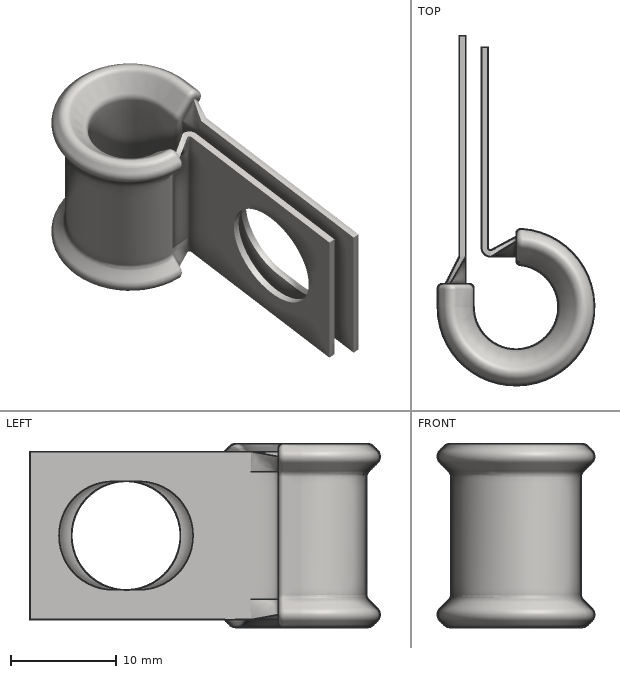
import cadquery as cq
import math


overall_length = 33.25
lip_diameter = 14.93
cushion_height = 17.45

lip_outer_radius = lip_diameter / 2
half_height = cushion_height / 2
tube_radius = 6.2
wall = 2.2
lip_round = 0.8
outer_bend_radius = 0.65
inner_bend_radius = 0.9

loop_angle = 270
straight_end = 2.23
end_round = 0.5

strap = 0.63
strap_half_width = 7.98
flap_root = 6.05
long_ear_top = overall_length - lip_outer_radius
short_ear_top = 24.67
long_flap_start = 4.8
short_ear_x = -3.3
ear_bend_radius = 0.25

hole_radius = 5.15
hole_y = 16.65
slot_length = 12.75

DIAGONAL = math.sqrt(0.5)
HALF_BEND = math.tan(math.radians(22.5))

bore_radius = tube_radius - wall
lip_shift = (wall - 2 * lip_round) * DIAGONAL
upper_centre = (lip_outer_radius - lip_round - lip_shift, half_height - lip_round)
lower_centre = (upper_centre[0] + lip_shift, upper_centre[1] - lip_shift)

flare_offset = lower_centre[0] - lower_centre[1] + lip_round / DIAGONAL
lip_sum = lower_centre[0] + lower_centre[1] + lip_round / DIAGONAL

strap_inset = (wall - strap) / 2
strap_outer = tube_radius - strap_inset
strap_inner = strap_outer - strap
short_bend_end = short_ear_x + strap + ear_bend_radius

loop_start = cq.Plane(origin=(0, 0, 0), xDir=(-1, 0, 0), normal=(0, 1, 0))
long_end = cq.Plane(origin=(0, straight_end, 0), xDir=(-1, 0, 0), normal=(0, 1, 0))
short_end = cq.Plane(origin=(0, 0, 0), xDir=(0, 1, 0), normal=(1, 0, 0))


def on_round(centre, radius, angle):
    """Point on a circle at an angle in degrees."""
    turn = math.radians(angle)
    return (centre[0] + radius * math.cos(turn), centre[1] + radius * math.sin(turn))


def flare_bend(face_radius, line_offset, bend_radius):
    """Start, middle and end of the rounding between a tube face and its flare line."""
    start_z = face_radius - line_offset - bend_radius * HALF_BEND
    centre = (face_radius + bend_radius, start_z)
    return [on_round(centre, bend_radius, angle) for angle in (180, 157.5, 135)]


def cushion_profile():
    """Cushion section above the mid-plane."""
    outer = flare_bend(tube_radius, flare_offset, outer_bend_radius)
    inner = flare_bend(bore_radius, flare_offset - wall / DIAGONAL, inner_bend_radius)
    return (
        cq.Workplane(loop_start)
        .moveTo(tube_radius, 0)
        .lineTo(*outer[0])
        .threePointArc(outer[1], outer[2])
        .lineTo(*on_round(lower_centre, lip_round, -45))
        .threePointArc(on_round(lower_centre, lip_round, 0), on_round(lower_centre, lip_round, 45))
        .lineTo(*on_round(upper_centre, lip_round, 45))
        .threePointArc(on_round(upper_centre, lip_round, 90), on_round(upper_centre, lip_round, 135))
        .lineTo(*inner[2])
        .threePointArc(inner[1], inner[0])
        .lineTo(bore_radius, 0)
        .close()
    )


def cushion():
    """Flared loop with one straight end and both end faces rounded."""
    upper = cushion_profile().revolve(loop_angle, (0, 0, 0), (0, 1, 0))
    upper = upper.union(cushion_profile().extrude(straight_end))
    body = upper.union(upper.mirror("XY")).clean()
    mid_wall = tube_radius - wall / 2
    for end in (long_end, short_end):
        nearest = cq.selectors.NearestToPointSelector(end.toWorldCoords((mid_wall, 0, 0)).toTuple())
        body = body.faces(nearest).edges().fillet(end_round)
    return body


def turned_out_edges(end, start_distance):
    """Strap edges that twist from flat, at a distance from the end plane, into the flare."""
    outer_offset = flare_offset - strap_inset / DIAGONAL
    inner_offset = outer_offset - strap / DIAGONAL
    tip_sum = lip_sum - strap_inset / DIAGONAL
    root = [(strap_inner, flap_root), (strap_outer, flap_root)]
    flat_tip = [(strap_outer, strap_half_width), (strap_inner, strap_half_width)]
    flared_tip = [((tip_sum + offset) / 2, (tip_sum - offset) / 2) for offset in (outer_offset, inner_offset)]
    flap = (
        cq.Workplane(end)
        .polyline(root + flared_tip).close()
        .workplane(offset=start_distance)
        .polyline(root + flat_tip).close()
        .loft(ruled=True)
    )
    return flap.union(flap.mirror("XY"))


def block(x_range, y_range, half_width):
    """Upright plate centred on the mid-plane."""
    return cq.Workplane("XY").box(
        x_range[1] - x_range[0], y_range[1] - y_range[0], 2 * half_width, centered=(False, False, True)
    ).translate((x_range[0], y_range[0], 0))


def long_ear():
    """Straight ear with the slot."""
    x_range = (-strap_outer, -strap_inner)
    ear = block(x_range, (long_flap_start, long_ear_top), strap_half_width)
    ear = ear.union(block(x_range, (straight_end, long_flap_start), flap_root))
    ear = ear.union(turned_out_edges(long_end, long_flap_start - straight_end))
    slot = (
        cq.Workplane("YZ", origin=(-strap_outer, hole_y, 0))
        .slot2D(slot_length, 2 * hole_radius)
        .extrude(strap)
    )
    return ear.cut(slot)


def short_ear():
    """Ear bent square to the loop end, with the round hole."""
    outer_bend = ear_bend_radius + strap
    centre = (short_bend_end, strap_inner + outer_bend)
    ear = (
        cq.Workplane("XY", origin=(0, 0, -strap_half_width))
        .moveTo(short_ear_x, short_ear_top)
        .lineTo(*on_round(centre, outer_bend, 180))
        .threePointArc(on_round(centre, outer_bend, 225), on_round(centre, outer_bend, 270))
        .lineTo(*on_round(centre, ear_bend_radius, 270))
        .threePointArc(on_round(centre, ear_bend_radius, 225), on_round(centre, ear_bend_radius, 180))
        .lineTo(short_ear_x + strap, short_ear_top)
        .close()
        .extrude(2 * strap_half_width)
    )
    ear = ear.union(block((short_bend_end, 0), (strap_inner, strap_outer), flap_root))
    ear = ear.union(turned_out_edges(short_end, short_bend_end))
    hole = cq.Workplane("YZ", origin=(short_ear_x, hole_y, 0)).circle(hole_radius).extrude(strap)
    return ear.cut(hole)


result = cushion().union(long_ear()).union(short_ear())